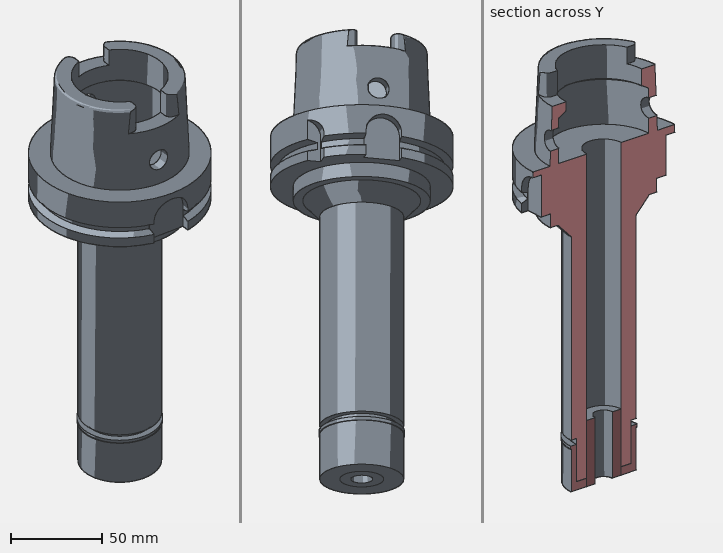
import cadquery as cq
import math


TAPER_TOP = 50.0
FLANGE_BOTTOM = -29.0
COLLAR_BOTTOM = -37.2
CONE_BOTTOM = -46.8
SHANK_BOTTOM = -169.0
NUT_TOP = -172.2
NUT_RIM_BOTTOM = -174.2
PART_BOTTOM = -200.0

TAPER_BASE_R = 38.0
TAPER_TOP_R = 35.8
TAPER_EDGE_ROUND = 1.5
MOUTH_R = 26.5
MOUTH_BOTTOM = 29.8
UNDERCUT_R = 31.5
SHOULDER_ANGLE = 30.0
CAVITY_BOTTOM = 0.0
CROSS_HOLE_R = 6.0
CROSS_HOLE_Z = 15.0

KEYWAY_HALF_WIDTH = 10.0
KEYWAY_CORNER_R = 4.0
KEYWAY_FLAT_X = 32.2
LEFT_KEYWAY_DEPTH = 10.0
RIGHT_KEYWAY_DEPTH = 14.5

FLANGE_R = 50.0
GROOVE_R = 45.8
GROOVE_CENTRE = -20.0
GROOVE_FLOOR_WIDTH = 3.8
GROOVE_MOUTH_WIDTH = 6.8
LEFT_SLOT_R = 10.0
RIGHT_SLOT_R = 11.2
SLOT_ARCH_Z = -15.0
DRIVE_SLOT_FLOOR_X = 44.0
NOTCH_R = LEFT_SLOT_R
NOTCH_FLOOR_X = 31.8
NOTCH_CENTRE_Y = 41.2

COLLAR_R = 37.5
CONE_TOP_R = 32.2
SHANK_R = 23.0
SPIGOT_R = 19.5
BORE_R = 12.0

NUT_R = 23.0
NUT_RIM_R = 23.5
NUT_FRONT_WALL = 5.0
COLLET_LENGTH = 40.0
COLLET_BORE_R = 6.0

SPIGOT_BOTTOM = PART_BOTTOM + NUT_FRONT_WALL


def cylinder(radius, bottom, top):
    return cq.Workplane("XY").workplane(offset=bottom).circle(radius).extrude(top - bottom)


def revolve_profile(points):
    """Turn a closed outline of (radius, z) points about the Z axis."""
    return cq.Workplane("XZ").polyline(points).close().revolve(360, (0, 0), (0, 1))


def taper():
    cone = revolve_profile([
        (0, 0),
        (TAPER_BASE_R, 0),
        (TAPER_TOP_R, TAPER_TOP),
        (0, TAPER_TOP),
    ])
    return cone.faces(">Z").edges().fillet(TAPER_EDGE_ROUND)


def flange_and_stem():
    half_mouth = GROOVE_MOUTH_WIDTH / 2
    half_floor = GROOVE_FLOOR_WIDTH / 2
    return revolve_profile([
        (0, 0),
        (FLANGE_R, 0),
        (FLANGE_R, GROOVE_CENTRE + half_mouth),
        (GROOVE_R, GROOVE_CENTRE + half_floor),
        (GROOVE_R, GROOVE_CENTRE - half_floor),
        (FLANGE_R, GROOVE_CENTRE - half_mouth),
        (FLANGE_R, FLANGE_BOTTOM),
        (COLLAR_R, FLANGE_BOTTOM),
        (COLLAR_R, COLLAR_BOTTOM),
        (CONE_TOP_R, COLLAR_BOTTOM),
        (SHANK_R, CONE_BOTTOM),
        (SHANK_R, SHANK_BOTTOM),
        (SPIGOT_R, SHANK_BOTTOM),
        (SPIGOT_R, SPIGOT_BOTTOM),
        (0, SPIGOT_BOTTOM),
    ])


def cavity():
    """Clamping cavity: a narrow mouth, a sloping shoulder and a wider undercut below it."""
    shoulder_height = (UNDERCUT_R - MOUTH_R) * math.tan(math.radians(SHOULDER_ANGLE))
    return revolve_profile([
        (0, TAPER_TOP),
        (MOUTH_R, TAPER_TOP),
        (MOUTH_R, MOUTH_BOTTOM),
        (UNDERCUT_R, MOUTH_BOTTOM - shoulder_height),
        (UNDERCUT_R, CAVITY_BOTTOM),
        (0, CAVITY_BOTTOM),
    ])


def keyway(side, depth):
    """Keyway cutter on the +X (side = 1) or -X (side = -1) rim.

    It leaves rounded corners on the two rim lobes and trims their ends to a flat facing along X.
    """
    wall_end_x = side * (KEYWAY_FLAT_X - KEYWAY_CORNER_R)
    corner_end_y = KEYWAY_HALF_WIDTH + KEYWAY_CORNER_R
    arc_mid_x = wall_end_x + side * KEYWAY_CORNER_R * math.sin(math.pi / 4)
    arc_mid_y = corner_end_y - KEYWAY_CORNER_R * math.cos(math.pi / 4)
    flat_x = side * KEYWAY_FLAT_X
    outer_x = side * FLANGE_R
    outer_y = TAPER_BASE_R
    return (
        cq.Workplane("XY").workplane(offset=TAPER_TOP - depth)
        .moveTo(0, -KEYWAY_HALF_WIDTH)
        .lineTo(wall_end_x, -KEYWAY_HALF_WIDTH)
        .threePointArc((arc_mid_x, -arc_mid_y), (flat_x, -corner_end_y))
        .lineTo(flat_x, -outer_y)
        .lineTo(outer_x, -outer_y)
        .lineTo(outer_x, outer_y)
        .lineTo(flat_x, outer_y)
        .lineTo(flat_x, corner_end_y)
        .threePointArc((arc_mid_x, arc_mid_y), (wall_end_x, KEYWAY_HALF_WIDTH))
        .lineTo(0, KEYWAY_HALF_WIDTH)
        .close()
        .extrude(depth)
    )


def flange_slot(side, floor_x, centre_y, radius):
    """Round-topped slot cutter, open at the flange bottom, with a flat floor facing along X."""
    return (
        cq.Workplane("YZ").workplane(offset=side * floor_x)
        .moveTo(centre_y - radius, FLANGE_BOTTOM)
        .lineTo(centre_y - radius, SLOT_ARCH_Z)
        .threePointArc((centre_y, SLOT_ARCH_Z + radius), (centre_y + radius, SLOT_ARCH_Z))
        .lineTo(centre_y + radius, FLANGE_BOTTOM)
        .close()
        .extrude(side * FLANGE_R)
    )


def make_holder():
    holder = taper().union(flange_and_stem())
    holder = holder.cut(cavity())
    holder = holder.cut(cylinder(BORE_R, SPIGOT_BOTTOM, CAVITY_BOTTOM))
    cross_hole = (
        cq.Workplane("YZ").center(0, CROSS_HOLE_Z).circle(CROSS_HOLE_R).extrude(FLANGE_R, both=True)
    )
    holder = holder.cut(cross_hole)
    for side, keyway_depth, slot_r in (
        (-1, LEFT_KEYWAY_DEPTH, LEFT_SLOT_R),
        (1, RIGHT_KEYWAY_DEPTH, RIGHT_SLOT_R),
    ):
        holder = holder.cut(keyway(side, keyway_depth))
        holder = holder.cut(flange_slot(side, DRIVE_SLOT_FLOOR_X, 0, slot_r))
    return holder.cut(flange_slot(-1, NOTCH_FLOOR_X, NOTCH_CENTRE_Y, NOTCH_R))


def make_nut():
    """Clamping nut: a rimmed sleeve around the spigot, with a front wall around the collet."""
    nut = cylinder(NUT_R, PART_BOTTOM, NUT_RIM_BOTTOM)
    nut = nut.union(cylinder(NUT_RIM_R, NUT_RIM_BOTTOM, NUT_TOP))
    nut = nut.cut(cylinder(SPIGOT_R, SPIGOT_BOTTOM, NUT_TOP))
    return nut.cut(cylinder(BORE_R, PART_BOTTOM, SPIGOT_BOTTOM))


def make_collet():
    """Plain clamping sleeve, flush with the front of the nut."""
    top = PART_BOTTOM + COLLET_LENGTH
    return cylinder(BORE_R, PART_BOTTOM, top).cut(cylinder(COLLET_BORE_R, PART_BOTTOM, top))


holder = make_holder()
nut = make_nut()
collet = make_collet()

result = cq.Compound.makeCompound([holder.val(), nut.val(), collet.val()])